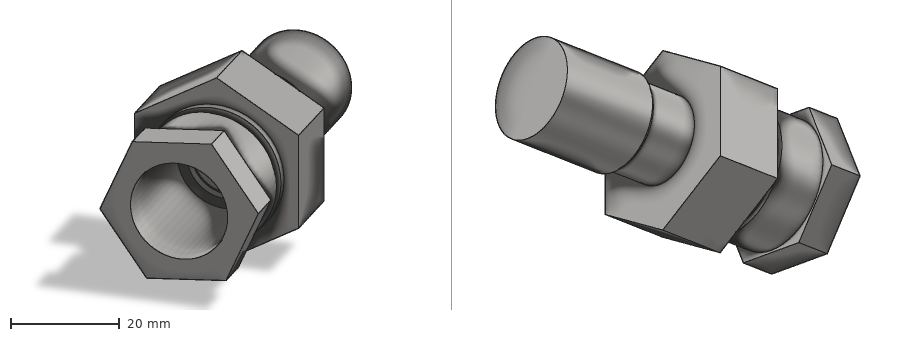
import cadquery as cq
import math

total_length = 67.0
front_end = -total_length / 2
back_end = total_length / 2

nut_flats = 32.0
nut_length = 14.1
nut_front = -12.8
nut_back = nut_front + nut_length
nut_turn = 30.0

head_flats = 26.95
head_length = 7.0
head_turn = 6.0
barrel_diameter = 26.0
barrel_length = 10.05
groove_diameter = 24.0
groove_width = 2.0
collar_diameter = 26.3
socket_diameter = 18.95
throat_diameter = 15.0
floor_thickness = 2.0
socket_back = nut_front + nut_length / 2

neck_diameter = 17.6
pipe_diameter = 20.0
pipe_length = 20.9
shoulder_length = 1.0
shoulder_diameter = 18.15
pipe_bore = 14.5
end_wall = 2.0


def cylinder(diameter, start, end):
    """Cylinder along Y between two stations."""
    plane = cq.Plane(origin=(0, start, 0), xDir=(1, 0, 0), normal=(0, 1, 0))
    return cq.Workplane(plane).circle(diameter / 2).extrude(end - start)


def hexagon(flats, turn, start, end):
    """Hexagonal prism along Y; turn is measured from +X toward +Z."""
    corner_radius = flats / math.sqrt(3)
    angles = [math.radians(turn + 60 * i) for i in range(6)]
    corners = [(corner_radius * math.cos(a), corner_radius * math.sin(a)) for a in angles]
    plane = cq.Plane(origin=(0, end, 0), xDir=(1, 0, 0), normal=(0, -1, 0))
    return cq.Workplane(plane).polyline(corners).close().extrude(end - start)


def make_socket():
    """Hex-headed socket with a grooved barrel, reaching halfway into the nut."""
    head_back = front_end + head_length
    barrel_back = head_back + barrel_length
    groove_back = barrel_back + groove_width
    body = hexagon(head_flats, head_turn, front_end, head_back)
    body = body.union(cylinder(barrel_diameter, head_back, barrel_back))
    body = body.union(cylinder(groove_diameter, barrel_back, groove_back))
    body = body.union(cylinder(collar_diameter, groove_back, socket_back))
    floor_front = socket_back - floor_thickness
    body = body.cut(cylinder(socket_diameter, front_end, floor_front))
    return body.cut(cylinder(throat_diameter, floor_front, socket_back))


def make_nut():
    """Hex nut with a recess for the socket and a hole for the pipe neck."""
    nut = hexagon(nut_flats, nut_turn, nut_front, nut_back)
    nut = nut.cut(cylinder(collar_diameter, nut_front, socket_back))
    return nut.cut(cylinder(neck_diameter, socket_back, nut_back))


def make_tail():
    """Pipe with a thinner neck, a tapered shoulder and a blind bore."""
    pipe_front = back_end - pipe_length
    shoulder_front = pipe_front - shoulder_length
    profile = [
        (0, socket_back),
        (neck_diameter / 2, socket_back),
        (neck_diameter / 2, shoulder_front),
        (shoulder_diameter / 2, shoulder_front),
        (pipe_diameter / 2, pipe_front),
        (pipe_diameter / 2, back_end),
        (0, back_end),
    ]
    tail = cq.Workplane("XY").polyline(profile).close().revolve(360, (0, 0, 0), (0, 1, 0))
    return tail.cut(cylinder(pipe_bore, socket_back, back_end - end_wall))


socket = make_socket()
nut = make_nut()
tail = make_tail()

result = cq.Compound.makeCompound([socket.val(), nut.val(), tail.val()])